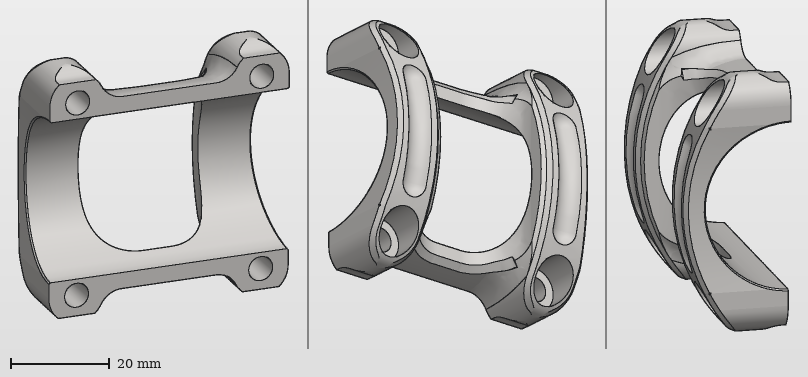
import cadquery as cq
import math

bar_radius = 17.5
bar_edge_chamfer = 0.3
select_margin = 0.1
front_x = -22.0
front_arc_radius = 39.2
front_arc_center_x = front_x + front_arc_radius
lower_clamp_x = -0.6

boss_y = 20.0
boss_z = 21.0
boss_radius = 6.0
half_width = boss_y + boss_radius
half_height = boss_z + boss_radius
bolt_diameter = 5.2
head_diameter = 9.1
head_seat_x = -10.0

arm_inner_y = boss_y - boss_radius
waist_start_z = 17.3
waist_depth = 1.4
tip_round_radius = 5.0
front_edge_chamfer = 0.9

web_radius = 21.0
web_fillet = 5.0
web_half_width = arm_inner_y + 2.0
web_front_radius = front_arc_radius - front_edge_chamfer
fillet_stations = 6

bridge_front_x = -7.0
opening_half_flat = 3.1
opening_half_width = 13.0
corner_length = 10.3
corner_width = opening_half_width - opening_half_flat
corner_end_x = bridge_front_x - corner_length

rim_chamfer_width = 1.4
rim_chamfer_depth = 1.0
corner_chamfer_turn = math.radians(66)
corner_stations = 8
arm_chamfer_depth = 0.5
arm_chamfer_angle = 30
cutter_reach = 5.0
cutter_overlap = 0.05
tangent_step = 0.1
surface_iterations = 20

relief_z = boss_z + 4.5
relief_flat_x = -1.4
relief_end_x = -6.8

groove_y = 19.4
groove_radius = 3.5
groove_depth = 1.6
groove_end_z = 11.75

through = 2 * half_height


def mirrored(shape, plane):
    """Join a shape with its mirror image."""
    return shape.union(shape.mirror(plane))


def cylinder_y(center_x, radius, half_length):
    """Cylinder parallel to Y, centred on the XZ plane."""
    return cq.Workplane("XZ").center(center_x, 0).circle(radius).extrude(half_length, both=True)


def arm():
    """Arm on the +Y side with a boss at each end and a waisted outer edge, chamfered along the front."""
    outline = (
        cq.Workplane("YZ")
        .moveTo(arm_inner_y, -boss_z)
        .threePointArc((boss_y, -half_height), (half_width, -boss_z))
        .lineTo(half_width, -waist_start_z)
        .threePointArc((half_width - waist_depth, 0), (half_width, waist_start_z))
        .lineTo(half_width, boss_z)
        .threePointArc((boss_y, half_height), (arm_inner_y, boss_z))
        .close()
        .extrude(2 * front_x)
    )
    body = outline.intersect(cylinder_y(front_arc_center_x, front_arc_radius, through))
    body = body.edges("not |X").edges("not >X").chamfer(front_edge_chamfer)
    body = body.cut(mirrored(tip_round_cutter(), "XY"))
    body = body.cut(cylinder_y(0, bar_radius, through))
    bar_edges = cq.selectors.BoxSelector(
        (-bar_radius - select_margin, boss_y, -bar_radius - select_margin),
        (select_margin, half_width + select_margin, bar_radius + select_margin),
        boundingbox=True,
    )
    return body.edges(bar_edges).edges("not |X").chamfer(bar_edge_chamfer)


def fillet_section(angle):
    """Section of the web fillet in the plane through the bar axis, tilted from Z by angle."""
    center_radius = web_radius + web_fillet
    center_height = center_radius * math.cos(angle) - boss_z
    center_y = fillet_center_y(center_height)
    boss_share = boss_radius / (boss_radius + web_fillet)
    touch_z = boss_z + center_height * boss_share
    touch_drop = center_radius - math.hypot(touch_z, center_radius * math.sin(angle))
    touch_angle = -math.asin(touch_drop / web_fillet)
    mid_angle = (touch_angle - math.pi / 2) / 2

    def point(y, radius):
        return cq.Vector(-radius * math.sin(angle), y, radius * math.cos(angle))

    def on_fillet(turn):
        return point(center_y + web_fillet * math.cos(turn), center_radius + web_fillet * math.sin(turn))

    touch_radius = center_radius + web_fillet * math.sin(touch_angle)
    start = point(center_y, web_radius)
    touch = on_fillet(touch_angle)
    corners = [touch, point(web_half_width, touch_radius), point(web_half_width, bar_radius)]
    corners += [point(center_y, bar_radius), start]
    sides = [cq.Edge.makeLine(p, q) for p, q in zip(corners, corners[1:])]
    arc = cq.Edge.makeThreePointArc(start, on_fillet(mid_angle), touch)
    return cq.Wire.assembleEdges([arc] + sides)


def web():
    """Shell around the bar that joins the arms, filleted toward arms and bosses."""
    quarter = (
        cq.Workplane("XZ")
        .moveTo(0, web_radius)
        .threePointArc((-web_radius * math.sqrt(0.5), web_radius * math.sqrt(0.5)), (-web_radius, 0))
        .lineTo(0, 0)
        .close()
        .extrude(-web_half_width)
    )
    arm_angle = math.acos(boss_z / (web_radius + web_fillet))
    sections = [
        fillet_section(arm_angle * station / fillet_stations) for station in range(fillet_stations + 1)
    ]
    boss_fillet = cq.Solid.makeLoft(sections)
    arm_turn = 90 - math.degrees(arm_angle)
    arm_fillet = cq.Solid.revolve(sections[-1], [], arm_turn, cq.Vector(0, 0, 0), cq.Vector(0, -1, 0))
    quarter = quarter.union(cq.Workplane(boss_fillet)).union(cq.Workplane(arm_fillet))
    quarter = quarter.intersect(cylinder_y(front_arc_center_x, web_front_radius, through))
    quarter = quarter.cut(opening()).cut(cylinder_y(0, bar_radius, through))
    for cutter in opening_chamfer_cutters():
        quarter = quarter.cut(cutter)
    return mirrored(mirrored(quarter, "XY"), "XZ")


def opening():
    """Prism along Z that opens the web between the arms."""
    return (
        cq.Workplane("XY")
        .moveTo(bridge_front_x, -opening_half_flat)
        .lineTo(bridge_front_x, opening_half_flat)
        .ellipseArc(corner_length, corner_width, 0, 90, startAtCurrent=True)
        .lineTo(2 * front_x, opening_half_width)
        .lineTo(2 * front_x, -opening_half_width)
        .lineTo(corner_end_x, -opening_half_width)
        .ellipseArc(corner_length, corner_width, -90, 0, startAtCurrent=True)
        .close()
        .extrude(through, both=True)
    )


def fillet_center_y(height):
    """Y of the fillet centre where it lies the given height above the boss axis."""
    reach = boss_radius + web_fillet
    return boss_y - math.sqrt(reach**2 - max(height, 0) ** 2)


def on_web(x, y):
    """Point of the upper web surface, shell or fillet, at the given X and Y."""
    radius = web_radius
    for _ in range(surface_iterations):
        tilt = math.asin(-x / radius)
        offset = y - fillet_center_y((web_radius + web_fillet) * math.cos(tilt) - boss_z)
        rise = web_fillet - math.sqrt(web_fillet**2 - max(offset, 0) ** 2)
        radius = web_radius + rise
    return cq.Vector(x, y, math.sqrt(radius**2 - x**2))


def chamfer_section(x, y, outward):
    """Triangle across the rim of the opening at X, Y; its first side is the chamfer."""
    edge = on_web(x, y)
    nearby = on_web(x + outward.x * tangent_step, y + outward.y * tangent_step)
    along_web = (nearby - edge).normalized()
    radial = cq.Vector(edge.x, 0, edge.z).normalized()
    along_wall = (radial - outward * radial.dot(outward)).normalized()
    foot = edge - along_wall * rim_chamfer_depth
    slope = edge + along_web * rim_chamfer_width - foot
    corners = [
        foot - slope * cutter_overlap,
        foot + slope * (1 + cutter_overlap),
        foot + along_wall * cutter_reach - outward * cutter_overlap,
    ]
    return cq.Wire.makePolygon(corners, close=True)


def opening_chamfer_cutters():
    """Cutters for the rim chamfer along half a bridge, one corner and one arm."""
    toward_clamp = cq.Vector(1, 0, 0)
    bridge = [
        chamfer_section(bridge_front_x, y, toward_clamp)
        for y in (-opening_half_flat, opening_half_flat)
    ]
    corner = []
    for station in range(corner_stations + 1):
        turn = corner_chamfer_turn * station / corner_stations
        cosine = math.cos(turn)
        sine = math.sin(turn)
        x = corner_end_x + corner_length * cosine
        y = opening_half_flat + corner_width * sine
        outward = cq.Vector(cosine / corner_length, sine / corner_width, 0).normalized()
        corner.append(chamfer_section(x, y, outward))
    arm_rim = (
        cq.Workplane("XY")
        .moveTo(front_arc_center_x - web_front_radius, arm_inner_y)
        .lineTo(front_arc_center_x - web_front_radius + arm_chamfer_depth, opening_half_width)
        .lineTo(2 * front_x, opening_half_width)
        .lineTo(2 * front_x, arm_inner_y)
        .close()
        .revolve(arm_chamfer_angle, (front_arc_center_x, 0, 0), (front_arc_center_x, 1, 0))
    )
    return [
        cq.Workplane(cq.Solid.makeLoft(bridge, True)),
        cq.Workplane(cq.Solid.makeLoft(corner)),
        arm_rim,
    ]


def tip_round_cutter():
    """Material outside the rounding between the curved front and the boss tops."""
    round_z = half_height - tip_round_radius
    reach = front_arc_radius - tip_round_radius
    round_x = front_arc_center_x - math.sqrt(reach**2 - round_z**2)
    growth = front_arc_radius / reach
    start_x = front_arc_center_x + (round_x - front_arc_center_x) * growth
    start_z = round_z * growth
    mid_angle = (math.pi / 2 + math.atan2(start_z - round_z, start_x - round_x)) / 2
    mid = (
        round_x + tip_round_radius * math.cos(mid_angle),
        round_z + tip_round_radius * math.sin(mid_angle),
    )
    return (
        cq.Workplane("XZ")
        .moveTo(start_x, start_z)
        .threePointArc(mid, (round_x, half_height))
        .lineTo(round_x, through)
        .lineTo(2 * front_x, through)
        .lineTo(2 * front_x, start_z)
        .close()
        .extrude(half_width, both=True)
    )


def relief_cutter():
    """Flat beside the clamp face that rises to the boss top in an S curve."""
    middle = ((relief_flat_x + relief_end_x) / 2, (relief_z + half_height) / 2)
    return (
        cq.Workplane("XZ")
        .moveTo(0, relief_z)
        .lineTo(relief_flat_x, relief_z)
        .tangentArcPoint(middle, relative=False)
        .tangentArcPoint((relief_end_x, half_height), relative=False)
        .lineTo(relief_end_x, through)
        .lineTo(0, through)
        .close()
        .extrude(half_width, both=True)
    )


def bolt_holes():
    """Counterbored holes entering from the front."""
    centers = [(y, z) for y in (-boss_y, boss_y) for z in (-boss_z, boss_z)]
    bolts = cq.Workplane("YZ").pushPoints(centers).circle(bolt_diameter / 2).extrude(2 * front_x)
    heads = (
        cq.Workplane("YZ", origin=(head_seat_x, 0, 0))
        .pushPoints(centers)
        .circle(head_diameter / 2)
        .extrude(2 * front_x)
    )
    return bolts.union(heads)


def groove():
    """Groove on the +Y arm: a round bar bent along the front arc with ball ends."""
    path_radius = front_arc_radius + groove_radius - groove_depth
    end_angle = math.asin(groove_end_z / front_arc_radius)
    end_x = front_arc_center_x - path_radius * math.cos(end_angle)
    end_z = path_radius * math.sin(end_angle)
    path = (
        cq.Workplane("XZ", origin=(0, groove_y, 0))
        .moveTo(end_x, -end_z)
        .threePointArc((front_arc_center_x - path_radius, 0), (end_x, end_z))
    )
    start = cq.Plane(
        origin=(end_x, groove_y, -end_z),
        xDir=(0, 1, 0),
        normal=(-math.sin(end_angle), 0, math.cos(end_angle)),
    )
    bar = cq.Workplane(start).circle(groove_radius).sweep(path)
    for z in (-end_z, end_z):
        bar = bar.union(cq.Workplane("XY").sphere(groove_radius).translate((end_x, groove_y, z)))
    return bar


def lower_gap():
    """Block that sets the lower clamp faces back from the upper ones."""
    gap = cq.Workplane("XY").box(through, through, through, centered=(False, True, False))
    return gap.translate((lower_clamp_x, 0, -through))


faceplate = mirrored(arm(), "XZ").union(web())
faceplate = faceplate.cut(mirrored(relief_cutter(), "XY"))
faceplate = faceplate.cut(bolt_holes())
faceplate = faceplate.cut(mirrored(groove(), "XZ"))
faceplate = faceplate.cut(lower_gap())
result = faceplate